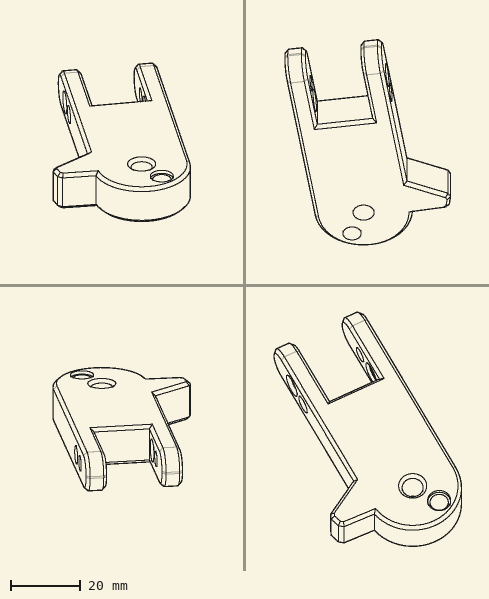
import cadquery as cq
import math

ARM_ANGLE = -30.0

THICKNESS = 11.5
HEAD_RADIUS = 14.0
TIP_REACH = 60.0
SLOT_REACH = 36.0
SLOT_WIDTH = 16.0
TIP_RADIUS = 5.5
CHAMFER = 1.0

FINGER_BASE = (-9.7, -HEAD_RADIUS)
FINGER_OUTER = (-2.6, -25.7)
FINGER_INNER = (2.25, -24.35)
FINGER_ROOT = (2.75, -10.9)

PIVOT_DIAMETER = 6.0
SMALL_DIAMETER = 4.4
MEDIUM_DIAMETER = 5.2
RECESS_DIAMETER = 6.6
RECESS_DEPTH = 1.0
HEAD_HOLE_OFFSET = 9.0
TIP_HOLE_REACH = 48.0
ROOT_HOLE_REACH = 41.0

TOP = THICKNESS / 2
TOLERANCE = 0.01


def prism(sketch):
    """Extrude an outline symmetrically about the XY plane."""
    return sketch.extrude(THICKNESS / 2, both=True)


def make_finger():
    outline = cq.Workplane("XY").polyline([FINGER_BASE, FINGER_OUTER, FINGER_INNER, FINGER_ROOT])
    finger = prism(outline.close())
    corners = [cq.Vector(x, y, 0) for x, y in (FINGER_OUTER, FINGER_INNER)]
    edges = [e for e in finger.edges("|Z").vals() if min((e.Center() - c).Length for c in corners) < TOLERANCE]
    return finger.newObject(edges).chamfer(CHAMFER)


def make_blank():
    arm = prism(cq.Workplane("XY").center(-TIP_REACH / 2, 0).rect(TIP_REACH, 2 * HEAD_RADIUS))
    slot_length = TIP_REACH - SLOT_REACH
    slot_center = -(TIP_REACH + SLOT_REACH) / 2
    slot = prism(cq.Workplane("XY").center(slot_center, 0).rect(slot_length, SLOT_WIDTH))
    arm = arm.cut(slot).faces("<X").edges("|Y").fillet(TIP_RADIUS)
    head = prism(cq.Workplane("XY").circle(HEAD_RADIUS))
    return arm.union(head).union(make_finger()).clean()


def is_rim_edge(edge):
    """True for edges around the top, the bottom and the sides of the rounded tips."""
    box = edge.BoundingBox()
    middle = edge.Center()
    at_tip = middle.x < TIP_RADIUS - TIP_REACH + TOLERANCE
    if at_tip:
        return box.ylen < TOLERANCE
    return abs(middle.z) > TOP - TOLERANCE


def chamfer_rims(body):
    rims = [edge for edge in body.edges().vals() if is_rim_edge(edge)]
    return body.newObject(rims).chamfer(CHAMFER)


def cylinder(diameter, length, start, direction):
    return cq.Workplane(cq.Solid.makeCylinder(diameter / 2, length, cq.Vector(*start), cq.Vector(*direction)))


def countersink(diameter, depth, start, direction):
    """Cone opening at start and narrowing at 45 degrees to the given diameter."""
    cone = cq.Solid.makeCone(diameter / 2 + depth, diameter / 2, depth, cq.Vector(*start), cq.Vector(*direction))
    return cq.Workplane(cone)


def cut_head_holes(body):
    down = (0, 0, -1)
    pivot_top = (0, 0, TOP)
    angle = math.radians(-ARM_ANGLE)
    second_top = (HEAD_HOLE_OFFSET * math.cos(angle), HEAD_HOLE_OFFSET * math.sin(angle), TOP)
    body = body.cut(cylinder(PIVOT_DIAMETER, THICKNESS, pivot_top, down))
    body = body.cut(countersink(PIVOT_DIAMETER, CHAMFER, pivot_top, down))
    body = body.cut(cylinder(MEDIUM_DIAMETER, THICKNESS, second_top, down))
    return body.cut(cylinder(RECESS_DIAMETER, RECESS_DEPTH, second_top, down))


def cut_fork_holes(body):
    across = (0, 1, 0)
    tip_start = (-TIP_HOLE_REACH, -HEAD_RADIUS, 0)
    root_start = (-ROOT_HOLE_REACH, -HEAD_RADIUS, 0)
    sink_depth = (RECESS_DIAMETER - SMALL_DIAMETER) / 2
    body = body.cut(cylinder(SMALL_DIAMETER, 2 * HEAD_RADIUS, tip_start, across))
    body = body.cut(countersink(SMALL_DIAMETER, sink_depth, tip_start, across))
    body = body.cut(cylinder(MEDIUM_DIAMETER, 2 * HEAD_RADIUS, root_start, across))
    for side in (-1, 1):
        recess_start = (-ROOT_HOLE_REACH, side * SLOT_WIDTH / 2, 0)
        body = body.cut(cylinder(RECESS_DIAMETER, RECESS_DEPTH, recess_start, (0, side, 0)))
    return body


arm = chamfer_rims(make_blank())
arm = cut_fork_holes(cut_head_holes(arm))
result = arm.rotate((0, 0, 0), (0, 0, 1), ARM_ANGLE)